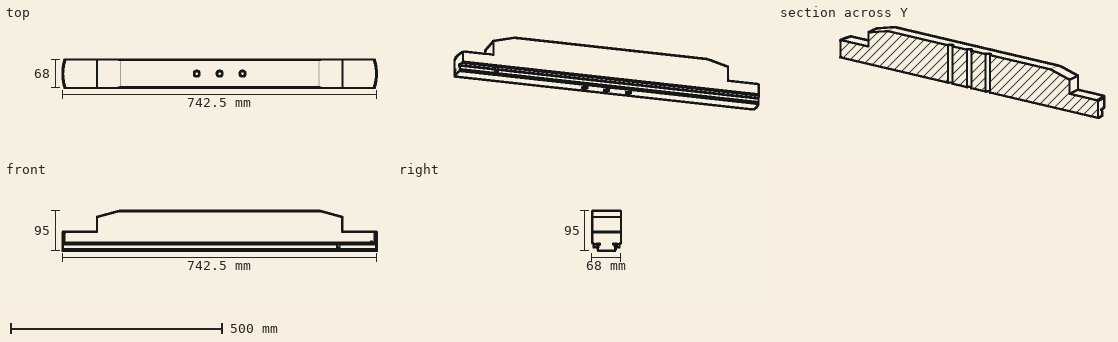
import cadquery as cq

length = 742.55
width = 68.0
height = 95.0
half_length = length / 2
half_width = width / 2

step_height = 45.0
housing_half_length = 290.0
shoulder_height = 80.0
top_half_length = 234.5
top_edge_chamfer = 2.0

end_bulge = 5.5
end_rim_chamfer = 2.0

body_bottom = 16.5
body_bottom_chamfer = 2.5
neck_half_width = 18.0
rail_half_width = 21.6
foot_half_width = 19.5
foot_height = 4.2

groove_floor = 16.0
groove_bottom = 15.0

notch_x = 358.5
notch_width = 1.5
notch_depth = 2.0
notch_top = 22.5

hole_diameter = 12.0
countersink_diameter = 14.0
hole_spacing = 54.0

pin_diameter = 7.0
pin_x = 280.0
pin_y = 27.0
pin_bottom = 8.0


def mirrored(points):
    """Close a half outline with its mirror image about the vertical axis."""
    return points + [(-u, v) for u, v in reversed(points)]


def rounded_plan(top):
    """Full-length block whose two ends are arcs in plan."""
    corner_x = half_length - end_bulge
    return (
        cq.Workplane("XY")
        .moveTo(-corner_x, -half_width)
        .lineTo(corner_x, -half_width)
        .threePointArc((half_length, 0), (corner_x, half_width))
        .lineTo(-corner_x, half_width)
        .threePointArc((-half_length, 0), (-corner_x, -half_width))
        .close()
        .extrude(top)
    )


def base_block():
    """Low block with its top rims bevelled along the curved ends."""
    return rounded_plan(step_height).faces(">Z").edges("%CIRCLE").chamfer(end_rim_chamfer)


def housing():
    """Raised centre with sloping shoulders at both ends."""
    outline = mirrored([
        (housing_half_length, 0),
        (housing_half_length, shoulder_height),
        (top_half_length, height),
    ])
    return cq.Workplane("XZ").polyline(outline).close().extrude(half_width, both=True)


def cross_section():
    """Constant section that forms the rail and bevels the long edges."""
    outline = mirrored([
        (foot_half_width, 0),
        (rail_half_width, foot_height),
        (neck_half_width, body_bottom),
        (half_width - body_bottom_chamfer, body_bottom),
        (half_width, body_bottom + body_bottom_chamfer),
        (half_width, height - top_edge_chamfer),
        (half_width - top_edge_chamfer, height),
    ])
    return cq.Workplane("YZ").polyline(outline).close().extrude(half_length, both=True)


def relief_grooves():
    """Full-length grooves undercutting the rail where it meets the body."""
    groove_width = rail_half_width - groove_floor
    groove_y = (groove_floor + rail_half_width) / 2
    groove_z = (groove_bottom + body_bottom) / 2
    return (
        cq.Workplane("YZ")
        .pushPoints([(-groove_y, groove_z), (groove_y, groove_z)])
        .rect(groove_width, body_bottom - groove_bottom)
        .extrude(half_length, both=True)
    )


def edge_notch():
    """Shallow notch open to the -Y face and to the underside."""
    notch_height = notch_top - body_bottom
    notch = cq.Workplane("XY").box(notch_width, notch_depth, notch_height, centered=(True, False, False))
    return notch.translate((notch_x, -half_width, body_bottom))


def mounting_holes():
    """Row of three vertical holes along the centreline, bevelled at the top."""
    centres = [(i * hole_spacing, 0) for i in (-1, 0, 1)]
    holes = cq.Workplane("XY").pushPoints(centres).circle(hole_diameter / 2).extrude(height)
    countersink_depth = (countersink_diameter - hole_diameter) / 2
    cone = cq.Solid.makeCone(
        hole_diameter / 2,
        countersink_diameter / 2,
        countersink_depth,
        pnt=cq.Vector(0, 0, height - countersink_depth),
    )
    for x, y in centres:
        holes = holes.union(cq.Workplane(cone.translate(cq.Vector(x, y, 0))))
    return holes


def pins():
    """Pins below the body, one on each side of the rail."""
    centres = [(pin_x, -pin_y), (pin_x, pin_y)]
    pin_top = body_bottom + body_bottom_chamfer
    return (
        cq.Workplane("XY")
        .workplane(offset=pin_bottom)
        .pushPoints(centres)
        .circle(pin_diameter / 2)
        .extrude(pin_top - pin_bottom)
    )


body = base_block().union(housing()).intersect(cross_section())
body = body.cut(relief_grooves()).cut(edge_notch()).cut(mounting_holes())
result = body.union(pins())